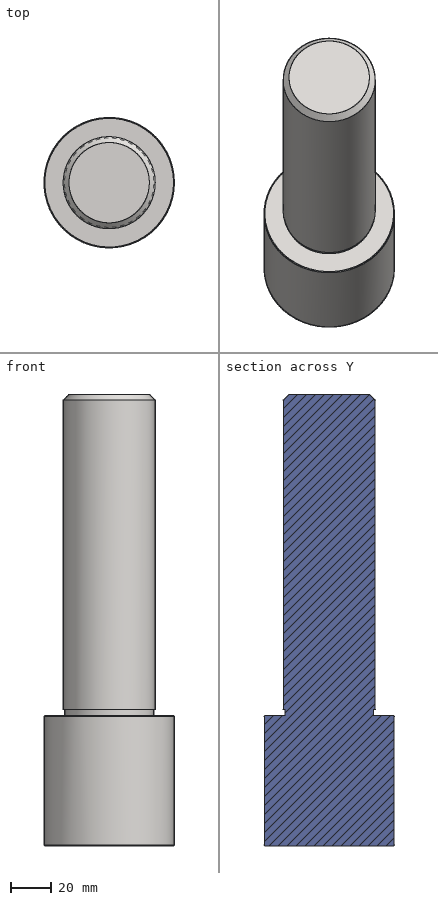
import cadquery as cq

total_height = 225.0
head_diameter = 65.0
head_height = 65.0
head_chamfer = 0.5
shank_diameter = 46.0
tip_chamfer = 3.0
neck_diameter = 44.5
neck_height = 3.0

head_radius = head_diameter / 2
shank_radius = shank_diameter / 2
neck_radius = neck_diameter / 2

profile = (
    cq.Workplane("XZ")
    .moveTo(0, 0)
    .lineTo(head_radius - head_chamfer, 0)
    .lineTo(head_radius, head_chamfer)
    .lineTo(head_radius, head_height - head_chamfer)
    .lineTo(head_radius - head_chamfer, head_height)
    .lineTo(neck_radius, head_height)
    .lineTo(neck_radius, head_height + neck_height)
    .lineTo(shank_radius, head_height + neck_height)
    .lineTo(shank_radius, total_height - tip_chamfer)
    .lineTo(shank_radius - tip_chamfer, total_height)
    .lineTo(0, total_height)
    .close()
)

result = profile.revolve(360, (0, 0, 0), (0, 1, 0))